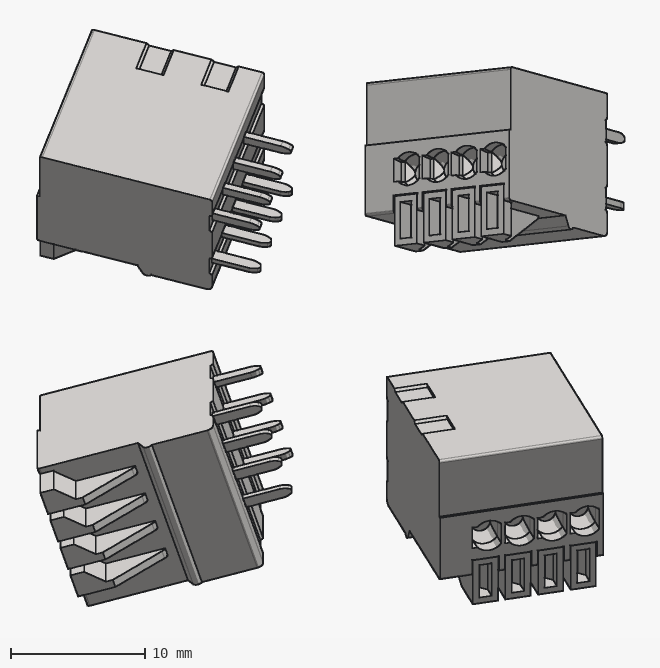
import cadquery as cq


length = 17.2
width = 12.7
height = 12.6
poles = 4
pitch = width / (poles + 1)

upper_front = 0.2
step_z = 7.83
housing_back = 13.69
housing_bottom = 2.51
foot_bottom = 1.75
top_fillet = 0.19
front_fillet = 0.19
foot_fillet = 0.46
nose_slope_top = 7.85
nose_start = (8.24, 1.79)
nose_low = (8.6, 1.57)
nose_end_x = 8.93

recess_depth = 0.2
recess_height = 2.06
upper_recess_z = 8.7
lower_recess_z = 3.6

notch_count = 2
notch_x = 4.49
notch_spacing = 2 * pitch
notch_width = 2.13
notch_depth = 0.2
notch_length = 2.51

entry_y = pitch / 2
entry_z = 5.71
entry_radius = 1.25
entry_half_width = 0.96
entry_depth = 1.08
bore_radius = 0.72
funnel_depth = 1.03
side_slot_y = 2.56
side_slot_half_height = 0.88
side_slot_floor_half_height = 0.75

lever_y = 0.55
lever_width = 1.96
lever_front = 0.07
lever_top = 3.75
lever_head_back = 1.14
lever_tail_start = 2.45
lever_foot_end = 2.98
lever_bend = (6.8, 2.2)
lever_bend_mid = (6.97, 2.34)
lever_end = 7.05
lever_gap = 0.07

window_y = 1.05
window_width = 0.96
window_bottom = 0.5
window_height = 2.77
window_depth = 1.46

pin_y = 0.93
upper_pin_z = 9.74
lower_pin_z = 4.65
pin_width = 0.8
pin_thickness = 0.5
pin_root = 12.04
pin_taper_start = 16.37
pin_taper_mid = 16.72
pin_taper_end = 17.0
pin_mid_half = 0.36
pin_end_half = 0.25


def box(x0, x1, y0, y1, z0, z1):
    return cq.Workplane("XY").box(x1 - x0, y1 - y0, z1 - z0, centered=False).translate((x0, y0, z0))


def extrude_y(profile, y0, y1):
    """Extrude a closed XZ profile from y0 to y1."""
    return profile.extrude(-(y1 - y0)).translate((0, y0, 0))


def make_housing():
    profile = (
        cq.Workplane("XZ")
        .moveTo(0, housing_bottom)
        .lineTo(nose_slope_top, housing_bottom)
        .lineTo(*nose_start)
        .threePointArc(nose_low, (nose_end_x, foot_bottom))
        .lineTo(housing_back, foot_bottom)
        .lineTo(housing_back, height)
        .lineTo(upper_front, height)
        .lineTo(upper_front, step_z)
        .lineTo(0, step_z)
        .close()
    )
    housing = extrude_y(profile, 0, width)
    housing = housing.edges("|Y and >Z").fillet(top_fillet)
    housing = housing.edges(cq.selectors.NearestToPointSelector((0, width / 2, housing_bottom)))
    housing = housing.fillet(front_fillet)
    housing = housing.edges(cq.selectors.NearestToPointSelector((housing_back, width / 2, foot_bottom)))
    return housing.fillet(foot_fillet)


def make_back_recess(z0):
    """Groove with 45 degree flanks across the whole back face."""
    z1 = z0 + recess_height
    floor_x = housing_back - recess_depth
    profile = cq.Workplane("XZ").polyline([
        (housing_back, z0),
        (floor_x, z0 + recess_depth),
        (floor_x, z1 - recess_depth),
        (housing_back, z1),
    ]).close()
    return extrude_y(profile, 0, width)


def make_notch(x0):
    """Top notch with 45 degree flanks, open at the +Y side."""
    x1 = x0 + notch_width
    floor_z = height - notch_depth
    profile = cq.Workplane("XZ").polyline([
        (x0, height),
        (x0 + notch_depth, floor_z),
        (x1 - notch_depth, floor_z),
        (x1, height),
    ]).close()
    return extrude_y(profile, width - notch_length, width)


def make_wire_entry(y0):
    """Round entry with flat sides, tapering to the bore, with a side slot towards +Y."""
    axis_y = y0 + entry_y
    funnel_end = entry_depth + funnel_depth
    round_entry = (
        cq.Workplane("XY")
        .polyline([
            (0, 0),
            (0, entry_radius),
            (entry_depth, entry_radius),
            (funnel_end, bore_radius),
            (funnel_end, 0),
        ])
        .close()
        .revolve(360, (0, 0), (1, 0))
    )
    flat_sides = (
        cq.Workplane("XY")
        .polyline([
            (0, -entry_half_width),
            (entry_depth, -entry_half_width),
            (funnel_end, -bore_radius),
            (funnel_end, bore_radius),
            (entry_depth, entry_half_width),
            (0, entry_half_width),
        ])
        .close()
        .extrude(entry_radius, both=True)
    )
    entry = round_entry.intersect(flat_sides).translate((0, axis_y, entry_z))
    slot_profile = cq.Workplane("XZ").polyline([
        (0, entry_z - side_slot_half_height),
        (entry_depth, entry_z - side_slot_floor_half_height),
        (entry_depth, entry_z + side_slot_floor_half_height),
        (0, entry_z + side_slot_half_height),
    ]).close()
    return entry.union(extrude_y(slot_profile, axis_y, y0 + side_slot_y))


def make_lever_pocket(y0):
    return box(
        0, lever_head_back,
        y0 + lever_y - lever_gap, y0 + lever_y + lever_width + lever_gap,
        0, lever_top + lever_gap,
    )


def make_lever_window(y0):
    """Rectangular window whose floor ends in a 45 degree ramp on the -Y half."""
    left = y0 + window_y
    right = left + window_width
    floor_x = lever_front + window_depth
    ramp = window_width / 2
    return (
        cq.Workplane("XY")
        .polyline([
            (lever_front, left),
            (floor_x - ramp, left),
            (floor_x, left + ramp),
            (floor_x, right),
            (lever_front, right),
        ])
        .close()
        .extrude(window_height)
        .translate((0, 0, window_bottom))
    )


def make_lever(y0):
    """Lever with a wide head, narrowing at 45 degrees to a sloped tail under the housing."""
    near = y0 + lever_y
    far = near + lever_width
    tail_near = near + lever_tail_start - lever_head_back
    side_profile = (
        cq.Workplane("XZ")
        .moveTo(lever_front, 0)
        .lineTo(lever_foot_end, 0)
        .lineTo(*lever_bend)
        .threePointArc(lever_bend_mid, (lever_end, housing_bottom))
        .lineTo(lever_end, lever_top)
        .lineTo(lever_front, lever_top)
        .close()
    )
    plan = (
        cq.Workplane("XY")
        .polyline([
            (lever_front, near),
            (lever_head_back, near),
            (lever_tail_start, tail_near),
            (lever_end, tail_near),
            (lever_end, far),
            (lever_front, far),
        ])
        .close()
        .extrude(lever_top)
    )
    return extrude_y(side_profile, near, far).intersect(plan)


def make_pin():
    """Flat pin along X with a rounded tip, wide in Y and centred on the X axis."""
    half = pin_width / 2
    return (
        cq.Workplane("XY")
        .moveTo(pin_root, -half)
        .lineTo(pin_taper_start, -half)
        .threePointArc((pin_taper_mid, -pin_mid_half), (pin_taper_end, -pin_end_half))
        .threePointArc((length, 0), (pin_taper_end, pin_end_half))
        .threePointArc((pin_taper_mid, pin_mid_half), (pin_taper_start, half))
        .lineTo(pin_root, half)
        .close()
        .extrude(pin_thickness / 2, both=True)
    )


result = make_housing()

for recess_z in (upper_recess_z, lower_recess_z):
    result = result.cut(make_back_recess(recess_z))

for notch in range(notch_count):
    result = result.cut(make_notch(notch_x + notch * notch_spacing))

lower_pin = make_pin()
upper_pin = lower_pin.rotate((0, 0, 0), (1, 0, 0), 90)

for pole in range(poles):
    pole_y = pole * pitch
    result = result.cut(make_wire_entry(pole_y))
    result = result.cut(make_lever_pocket(pole_y))
    result = result.union(make_lever(pole_y))
    result = result.cut(make_lever_window(pole_y))
    result = result.union(upper_pin.translate((0, pole_y + pin_y, upper_pin_z)))
    result = result.union(lower_pin.translate((0, pole_y + pin_y, lower_pin_z)))